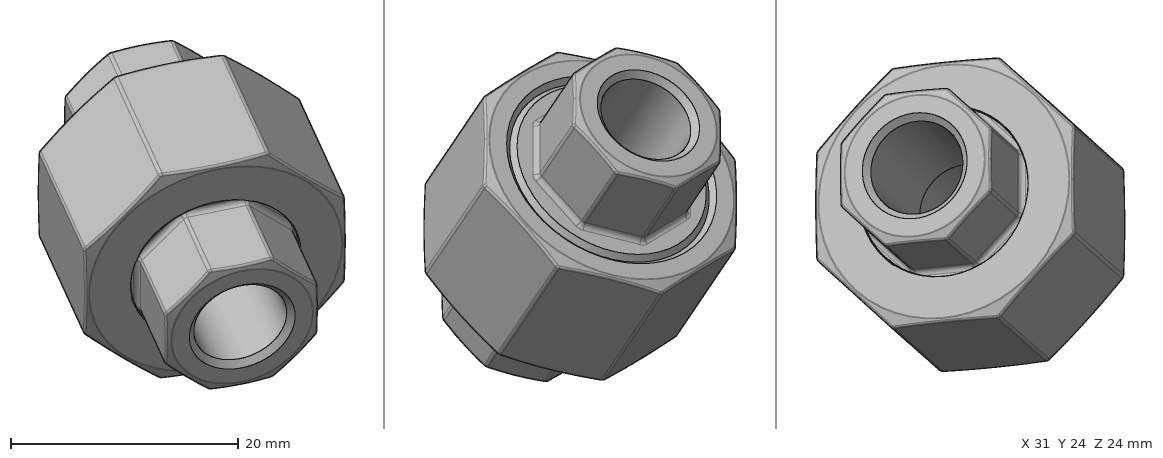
import cadquery as cq
import math

length = 31.0
left_end = -length / 2
right_end = length / 2
nut_left = left_end + 8.5
nut_length = 14.5
nut_right = nut_left + nut_length

sides = 8
nut_flats = 24.0
end_flats = 14.0
corner_radius = 0.5
blend_radius = 0.25
bevel_angle = 18.0
nut_face_diameter = 23.3
end_face_diameter = 13.02

bore_diameter = 8.55
bore_mouth_diameter = 9.73

nut_bore_diameter = 19.0
nut_mouth_diameter = 20.0
collar_face_diameter = 18.0
nut_hole_diameter = 15.7
shank_diameter = 15.5
flange_diameter = 18.38
shoulder_thickness = 3.0
flange_thickness = 3.0
shank_recess = 0.2
root_radius = 0.5

shoulder_x = nut_right - shoulder_thickness
joint_x = shoulder_x - flange_thickness
shank_x = nut_right - shank_recess


def cylinder(diameter, start, end):
    """Round bar along X from start to end."""
    return cq.Workplane("YZ", origin=(start, 0, 0)).circle(diameter / 2).extrude(end - start)


def cone(start_diameter, end_diameter, start, end):
    """Truncated cone along X, with a diameter at each end."""
    outline = [(start, 0), (start, start_diameter / 2), (end, end_diameter / 2), (end, 0)]
    return cq.Workplane("XY").polyline(outline).close().revolve(360, (0, 0, 0), (1, 0, 0))


def octagon(flats, start, end):
    """Octagonal bar along X with flats facing Y and Z and rounded long edges."""
    across_corners = flats / math.cos(math.pi / sides)
    half_sector = 360 / sides / 2
    bar = cq.Workplane("YZ", origin=(start, 0, 0)).transformed(rotate=(0, 0, half_sector))
    bar = bar.polygon(sides, across_corners).extrude(end - start)
    return bar.edges("|X").fillet(corner_radius)


def bevel_end(bar, flats, face_diameter, face_x):
    """Bevel the -X end of an octagon conically and round both borders of the bevel."""
    depth = flats / 4
    wide_diameter = face_diameter + 2 * depth / math.tan(math.radians(bevel_angle))
    cone_end = face_x + depth
    envelope = cone(face_diameter, wide_diameter, face_x, cone_end)
    envelope = envelope.union(cylinder(wide_diameter, cone_end, face_x + length))
    bar = bar.intersect(envelope)
    return bar.faces("%CONE").edges().fillet(blend_radius)


def pipe_end(face_x, collar_x, collar_diameter, back_x):
    """Bored octagonal pipe end facing -X, filleted into a round collar that ends at back_x."""
    octagon_bar = octagon(end_flats, face_x, back_x)
    bar = octagon_bar.union(cylinder(nut_flats, collar_x, back_x))
    root_half_width = end_flats / 2 + corner_radius
    margin = root_radius / 10
    root_box = cq.selectors.BoxSelector(
        (collar_x - margin, -root_half_width, -root_half_width),
        (collar_x + margin, root_half_width, root_half_width),
        boundingbox=True,
    )
    bar = bar.edges(root_box).fillet(root_radius)
    bar = bevel_end(bar, end_flats, end_face_diameter, face_x)
    bar = bar.intersect(cylinder(collar_diameter, face_x, back_x))
    flare_depth = (bore_mouth_diameter - bore_diameter) / 2
    flare = cone(bore_mouth_diameter, bore_diameter, face_x, face_x + flare_depth)
    return bar.cut(cylinder(bore_diameter, face_x, back_x)).cut(flare)


def build_body():
    """Body: left pipe end with a chamfered collar that fills the nut bore."""
    body = pipe_end(left_end, nut_left, nut_bore_diameter, joint_x)
    chamfer = (nut_bore_diameter - collar_face_diameter) / 2
    rim = cylinder(nut_bore_diameter, nut_left, nut_left + chamfer)
    rim = rim.cut(cone(collar_face_diameter, nut_bore_diameter, nut_left, nut_left + chamfer))
    return body.cut(rim)


def build_tailpiece():
    """Tailpiece: right pipe end, round shank and the flange that the nut pulls on."""
    tail = pipe_end(-right_end, -shank_x, shank_diameter, -joint_x).mirror("YZ")
    flange = cylinder(flange_diameter, joint_x, shoulder_x)
    return tail.union(flange.cut(cylinder(bore_diameter, joint_x, shoulder_x)))


def build_nut():
    """Union nut: bevelled octagon with a stepped through hole and a chamfered mouth."""
    half_length = nut_length / 2
    left_half = octagon(nut_flats, nut_left, nut_left + half_length)
    left_half = bevel_end(left_half, nut_flats, nut_face_diameter, nut_left)
    right_half = left_half.mirror("YZ", (nut_left + half_length, 0, 0))
    nut = left_half.union(right_half).clean()
    mouth_depth = (nut_mouth_diameter - nut_bore_diameter) / 2
    nut = nut.cut(cone(nut_mouth_diameter, nut_bore_diameter, nut_left, nut_left + mouth_depth))
    nut = nut.cut(cylinder(nut_bore_diameter, nut_left, shoulder_x))
    return nut.cut(cylinder(nut_hole_diameter, shoulder_x, nut_right))


body = build_body()
tailpiece = build_tailpiece()
nut = build_nut()
result = cq.Compound.makeCompound([
    body.solids().val(),
    tailpiece.solids().val(),
    nut.solids().val(),
])